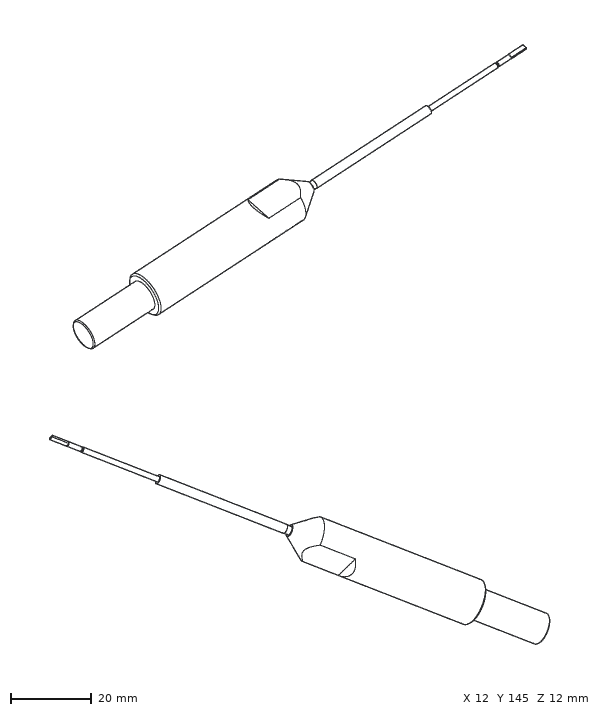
import cadquery as cq

total_length = 145.0
blade_end = 5.0
tip_rod_end = 8.8
neck_end = 9.3
needle_end = 31.6
sleeve_end = 69.2
nose_start = 70.5
nose_end = 77.0
flat_end = 87.5
handle_end = 125.0

needle_diameter = 1.5
sleeve_diameter = 2.5
collar_diameter = 2.3
nose_diameter = 3.2
handle_diameter = 12.0
stem_diameter = 8.3
blade_width = 1.3
blade_thickness = 0.6
tip_rod_diameter = 1.3
neck_diameter = 1.0
flat_distance = 9.0
handle_edge_chamfer = 0.5
stem_edge_chamfer = 0.3

tip_y = total_length / 2


def cylinder(diameter, start, end):
    """Cylinder on the Y axis between two distances from the tip."""
    return (
        cq.Workplane("XZ", origin=(0, tip_y - start, 0))
        .circle(diameter / 2)
        .extrude(end - start)
    )


def make_blade():
    """Flat rectangular blade at the probe tip."""
    return (
        cq.Workplane("XZ", origin=(0, tip_y, 0))
        .rect(blade_width, blade_thickness)
        .extrude(blade_end)
    )


def make_nose():
    """Cone that widens from the collar to the handle."""
    return (
        cq.Workplane("XZ", origin=(0, tip_y - nose_start, 0))
        .circle(nose_diameter / 2)
        .workplane(offset=nose_end - nose_start)
        .circle(handle_diameter / 2)
        .loft()
    )


def make_stem():
    """Plug stem with a chamfered free end."""
    stem = cylinder(stem_diameter, handle_end, total_length)
    return stem.faces("<Y").chamfer(stem_edge_chamfer)


def make_handle():
    """Round handle with its nose and a small chamfer at the rear edge."""
    barrel = cylinder(handle_diameter, nose_end, handle_end)
    barrel = barrel.faces("<Y").chamfer(handle_edge_chamfer)
    return barrel.union(make_nose())


def flat_cutter():
    """Volume above the upper flat, with a 45 degree run-out at its rear end."""
    flat_z = flat_distance / 2
    height = (handle_diameter - flat_distance) / 2
    return (
        cq.Workplane("YZ")
        .moveTo(tip_y - nose_start, flat_z)
        .lineTo(tip_y - flat_end, flat_z)
        .lineTo(tip_y - flat_end - height, flat_z + height)
        .lineTo(tip_y - nose_start, flat_z + height)
        .close()
        .extrude(handle_diameter / 2, both=True)
    )


upper_flat = flat_cutter()
lower_flat = upper_flat.mirror("XY")
handle = make_handle().cut(upper_flat).cut(lower_flat)

blade = make_blade()
tip_rod = cylinder(tip_rod_diameter, blade_end, tip_rod_end)
neck = cylinder(neck_diameter, tip_rod_end, neck_end)
needle = cylinder(needle_diameter, neck_end, needle_end)
sleeve = cylinder(sleeve_diameter, needle_end, sleeve_end)
collar = cylinder(collar_diameter, sleeve_end, nose_start)
stem = make_stem()

result = handle
for section in (collar, sleeve, needle, neck, tip_rod, blade, stem):
    result = result.union(section)